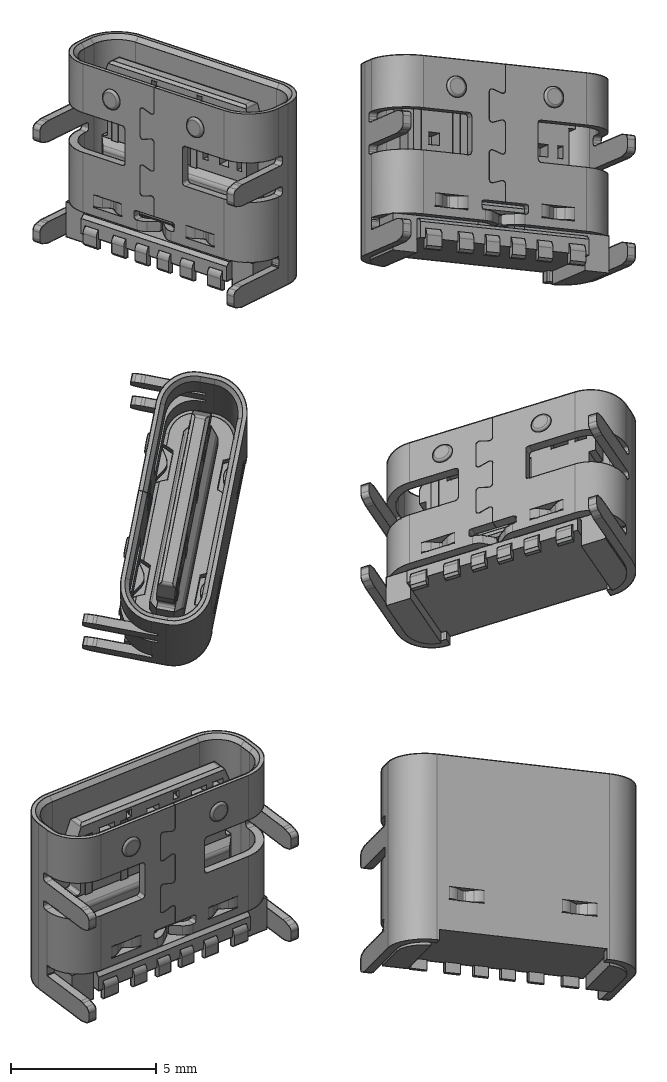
import cadquery as cq
import math


WIDTH = 8.94
LEG_DEPTH = 4.26
DEPTH = 3.165
HEIGHT = 6.9
WALL = 0.31
CORNER_R = 1.33
SHELL_BOTTOM = 0.1
RIM_CHAMFER = 0.16
HALF_W = WIDTH / 2
HALF_D = DEPTH / 2
INNER_W = HALF_W - WALL
INNER_D = HALF_D - WALL
SIDE_FLAT = HALF_D - CORNER_R
FRONT_EDGE = 1.31
FAR = 2 * WIDTH

LEG_WIDTH = 0.8
LEG_REACH = LEG_DEPTH - HALF_D
LEG_TAPER_LENGTH = 0.41
LEG_TAPER_ANGLE = 15.0
LEG_TAPER_R = 0.47
LEG_TIP_R = 0.19
UPPER_LEG_Z = 3.91
WINDOW_BOTTOM = 3.57
WINDOW_TOP = 5.06
WINDOW_INNER_X = 1.28
WINDOW_R = 0.125
UPPER_RELIEF_Y = -0.04
LOWER_RELIEF_Y = -0.23
RELIEF_R = 0.125

DENT_X = 2.06
DENT_HALF = 0.63
DENT_BEND = 0.32
DENT_CREST = 0.05
DENT_ANGLE = 33.0
DENT_BOTTOM = 1.63
DENT_TOP = 2.1
DENT_GAP = 0.04

FLAP_ROOT_X = 0.76
FLAP_BEND = 0.35
FLAP_TIP_X = 0.04
FLAP_TIP_R = 0.07
FLAP_ANGLE = 39.0
FLAP_TOP = 1.69
T_HALF_WIDTH = 0.89
T_TOP = 2.04
T_R = 0.11

SEAM_GAP = 0.0045
SEAM_X = 0.02
DOVETAIL_DEPTH = 0.63
DOVETAIL_SLANT = 0.21
DOVETAIL_R = 0.12
DOVETAIL_STEPS = (5.82, 4.96, 3.67, 2.825)

BUMP_X = 1.87
BUMP_Z = 5.92
BUMP_R = 0.375
BUMP_HEIGHT = 0.1
BUMP_FILLET = 0.09

FLOOR_Z = 2.07
FLOOR_CHAMFER = 0.13
HOUSING_BOTTOM = 0.48
FOOT_INNER_X = 3.24
BACK_NOTCH_X = 3.04
POCKET_BOTTOM = 1.52
POCKET_HALF_WIDE = 0.7
POCKET_HALF_NARROW = 0.52
POCKET_DEPTH = 0.39
BAR_FRONT = 1.565
BAR_TOP = 1.18
FLAP_POCKET_DEPTH = 0.805
FLAP_POCKET_CHAMFER = 0.1

TONGUE_TOP = 6.6
TONGUE_HALF = 0.31
TIP_HALF = 0.19
TIP_CHAMFER_HEIGHT = 0.09
BASE_HALF = 0.6
BASE_R = 0.24
BASE_TOP = 3.69
BASE_CORNER = BASE_HALF - TONGUE_HALF
TONGUE_X = 3.335
TIP_X = 3.03
TIP_R = 0.14
TAPER_Z = 5.81
NOTCH_X = 3.09
NOTCH_BOTTOM = 3.75
NOTCH_TOP = 5.185
NOTCH_R = 0.125

TONGUE_OPENINGS = (
    (-1.97, 0.64, 5.86, 6.17),
    (-1.02, 0.22, 6.115, 6.41),
    (0.0, 0.52, 5.86, 6.17),
    (0.99, 0.22, 6.115, 6.41),
    (1.97, 0.64, 5.86, 6.17),
    (2.77, 0.43, 5.86, 6.17),
    (-2.09, 0.4, 4.095, 4.53),
    (1.27, 0.215, 4.095, 4.53),
    (2.09, 0.4, 4.095, 4.53),
    (2.76, 0.21, 4.095, 4.53),
)
OPENING_DEPTH = 0.45

CONTACTS = ((-2.745, 6.1), (-1.24, 6.1), (0.75, 5.72))
CONTACT_WIDTH = 0.295
CONTACT_RISE = 0.03
CONTACT_SUNK = 0.045
CONTACT_BOTTOM = 3.65

TAILS = ((0.49, 0.52), (1.52, 0.545), (2.76, 0.59))
TAIL_FRONT = 1.68
TAIL_THICKNESS = 0.215
TAIL_BOTTOM = 0.11
TAIL_TOP = 0.9
TAIL_BEND = 0.33
TAIL_END_CHAMFER = 0.09


def block(x0, x1, y0, y1, z0, z1):
    return cq.Workplane("XY").box(x1 - x0, y1 - y0, z1 - z0, centered=False).translate((x0, y0, z0))


def edge_near(x=None, y=None, z=None):
    """Selector for edges whose middle lies at the given coordinates; None leaves one free."""
    margin = 0.01
    low = [-FAR if c is None else c - margin for c in (x, y, z)]
    high = [FAR if c is None else c + margin for c in (x, y, z)]
    return cq.selectors.BoxSelector(low, high)


def racetrack(inset, z0, z1):
    """Rounded-end prism that follows the shell outline, moved inwards by the inset."""
    prism = block(-HALF_W + inset, HALF_W - inset, -HALF_D + inset, HALF_D - inset, z0, z1)
    return prism.edges("|Z").fillet(CORNER_R - inset)


def relief(end_y, z0, z1):
    """Slot across both side walls, with rounded corners at its closed end."""
    slot = block(-FAR, FAR, -FAR, end_y, z0, z1)
    return slot.edges("|X and >Y").fillet(RELIEF_R)


def leg(side, z0):
    """Flat leg that runs on from the side wall and narrows to a rounded tip."""
    z1 = z0 + LEG_WIDTH
    tip_y = -LEG_REACH
    taper_y = tip_y + LEG_TAPER_LENGTH
    drop = LEG_TAPER_LENGTH * math.tan(math.radians(LEG_TAPER_ANGLE))
    outline = [
        (SIDE_FLAT, z0),
        (taper_y, z0),
        (tip_y, z0 + drop),
        (tip_y, z1 - drop),
        (taper_y, z1),
        (SIDE_FLAT, z1),
    ]
    plate = cq.Workplane("YZ").polyline(outline).close().extrude(WALL)
    plate = plate.edges("|X and <Y").fillet(LEG_TIP_R)
    plate = plate.edges(edge_near(y=taper_y)).fillet(LEG_TAPER_R)
    return plate.translate((INNER_W if side > 0 else -HALF_W, 0, 0))


def bend_arc(width, angle):
    """Middle and end, as run and rise, of an arc that turns from flat to the given angle."""
    turn = math.radians(angle)
    radius = width / math.sin(turn)
    return [(radius * math.sin(t), radius * (1 - math.cos(t))) for t in (turn / 2, turn)]


def dent_wave(path, y, side, thickness):
    """Adds one face of the bowed strip, run towards +X (side 1) or -X (side -1) from the given Y.

    The thickness is the distance from the outer face; it tightens the bends and widens the crest.
    """
    shift = thickness * math.sin(math.radians(DENT_ANGLE))
    crest_x = DENT_CREST + shift
    (mid_run, mid_rise), (run, rise) = bend_arc(DENT_BEND - shift, DENT_ANGLE)
    mid_x = DENT_HALF - mid_run
    bend_x = DENT_HALF - run
    crest_rise = rise + (bend_x - crest_x) * math.tan(math.radians(DENT_ANGLE))
    crest_top = crest_rise + crest_x * math.tan(math.radians(DENT_ANGLE / 2))
    path = path.threePointArc((-side * mid_x, y + mid_rise), (-side * bend_x, y + rise))
    path = path.lineTo(-side * crest_x, y + crest_rise)
    path = path.threePointArc((0, y + crest_top), (side * crest_x, y + crest_rise))
    path = path.lineTo(side * bend_x, y + rise)
    return path.threePointArc((side * mid_x, y + mid_rise), (side * DENT_HALF, y))


def dent():
    """Wall strip bowed inwards between two sheared edges, on the front wall at X = 0."""
    path = cq.Workplane("XY").moveTo(-DENT_HALF, -HALF_D)
    path = dent_wave(path, -HALF_D, 1, 0)
    path = path.lineTo(DENT_HALF, -INNER_D)
    path = dent_wave(path, -INNER_D, -1, WALL).close()
    bottom = DENT_BOTTOM + DENT_GAP
    return path.extrude(DENT_TOP - bottom).translate((0, 0, bottom))


def flap():
    """Half of the split strip at the foot of the seam, on the +X side, folded inwards."""
    (mid_run, mid_rise), (run, rise) = bend_arc(FLAP_BEND, FLAP_ANGLE)
    bend_x = FLAP_ROOT_X - run
    mid_x = FLAP_ROOT_X - mid_run
    tip_rise = rise + (bend_x - FLAP_TIP_X) * math.tan(math.radians(FLAP_ANGLE))
    strip = (
        cq.Workplane("XY")
        .moveTo(FLAP_ROOT_X, -HALF_D)
        .threePointArc((mid_x, -HALF_D + mid_rise), (bend_x, -HALF_D + rise))
        .lineTo(FLAP_TIP_X, -HALF_D + tip_rise)
        .lineTo(FLAP_TIP_X, -INNER_D + tip_rise)
        .lineTo(bend_x, -INNER_D + rise)
        .threePointArc((mid_x, -INNER_D + mid_rise), (FLAP_ROOT_X, -INNER_D))
        .close()
        .extrude(FLAP_TOP - FRONT_EDGE)
        .translate((0, 0, FRONT_EDGE))
    )
    return strip.faces("<X").edges("|Y").fillet(FLAP_TIP_R)


def seam():
    """Thin dovetailed gap between the two ends of the wrapped front wall."""
    tab_x = SEAM_X - DOVETAIL_DEPTH
    margin = 0.09
    path = [(SEAM_X, HEIGHT)]
    for upper, lower in zip(DOVETAIL_STEPS[::2], DOVETAIL_STEPS[1::2]):
        path += [(SEAM_X, upper), (tab_x, upper + DOVETAIL_SLANT)]
        path += [(tab_x, lower - DOVETAIL_SLANT), (SEAM_X, lower)]
    path += [(SEAM_X, 0), (-WIDTH, 0), (-WIDTH, HEIGHT)]
    left = cq.Workplane("XZ", origin=(0, -INNER_D, 0)).polyline(path).close().extrude(WALL)
    corners = cq.selectors.BoxSelector(
        (tab_x - margin, -FAR, DOVETAIL_STEPS[-1] - DOVETAIL_SLANT - margin),
        (SEAM_X + margin, FAR, DOVETAIL_STEPS[0] + DOVETAIL_SLANT + margin),
    )
    left = left.edges("|Y").edges(corners).fillet(DOVETAIL_R)
    widened = left.faces("<Y").wires().toPending().offset2D(SEAM_GAP).extrude(-WALL)
    return widened.cut(left)


def wrapped_wall():
    """Rounded tube with a flared mouth, trimmed at its lower edge and carrying the legs."""
    flare = racetrack(WALL - RIM_CHAMFER, HEIGHT - RIM_CHAMFER, HEIGHT + RIM_CHAMFER)
    flare = flare.faces("<Z").edges().chamfer(RIM_CHAMFER)
    body = racetrack(0, SHELL_BOTTOM, HEIGHT).cut(racetrack(WALL, 0, HEIGHT)).cut(flare)
    body = body.cut(block(-FAR, FAR, -FAR, -SIDE_FLAT, 0, FRONT_EDGE))
    body = body.cut(block(-BACK_NOTCH_X, BACK_NOTCH_X, 0, FAR, 0, HOUSING_BOTTOM))
    body = body.cut(relief(LOWER_RELIEF_Y, SHELL_BOTTOM + LEG_WIDTH, FRONT_EDGE))
    window = block(WINDOW_INNER_X, FAR, -FAR, -SIDE_FLAT, WINDOW_BOTTOM, WINDOW_TOP)
    window = window.edges("|Y and <X").fillet(WINDOW_R)
    body = body.cut(window).cut(window.mirror("YZ"))
    for z0, z1 in ((WINDOW_BOTTOM, UPPER_LEG_Z), (UPPER_LEG_Z + LEG_WIDTH, WINDOW_TOP)):
        slot = relief(UPPER_RELIEF_Y, z0, z1)
        body = body.cut(slot.cut(block(-INNER_W, INNER_W, -FAR, FAR, z0, z1)))
    for side in (-1, 1):
        for z0 in (SHELL_BOTTOM, UPPER_LEG_Z):
            body = body.union(leg(side, z0))
    return body


def with_dents(body):
    """Two dents on the front wall and two on the back wall."""
    hole = block(-DENT_HALF, DENT_HALF, -HALF_D, -INNER_D, DENT_BOTTOM, DENT_TOP)
    strip = dent()
    for turn in (0, 180):
        for x in (-DENT_X, DENT_X):
            body = body.cut(hole.translate((x, 0, 0)).rotate((0, 0, 0), (0, 0, 1), turn))
            body = body.union(strip.translate((x, 0, 0)).rotate((0, 0, 0), (0, 0, 1), turn))
    return body


def with_flaps(body):
    """T-shaped opening at the foot of the seam, with its two flaps."""
    bar = block(-T_HALF_WIDTH, T_HALF_WIDTH, -HALF_D, -INNER_D, FLAP_TOP, T_TOP)
    bar = bar.edges("|Y").fillet(T_R)
    stem = block(-FLAP_ROOT_X, FLAP_ROOT_X, -HALF_D, -INNER_D, 0, FLAP_TOP + T_R)
    flaps = flap().union(flap().mirror("YZ"))
    body = body.cut(bar.union(stem).translate((SEAM_X, 0, 0)))
    return body.union(flaps.translate((SEAM_X, 0, 0)))


def with_bumps(body):
    """Round-edged bumps on the front wall."""
    for x in (-BUMP_X, BUMP_X):
        bump = cq.Workplane("XZ", origin=(x, -HALF_D, BUMP_Z)).circle(BUMP_R).extrude(BUMP_HEIGHT)
        body = body.union(bump.faces("<Y").edges().fillet(BUMP_FILLET))
    return body


def shell():
    """Metal shell with legs, dents, seam, flaps and bumps."""
    body = with_dents(wrapped_wall()).cut(seam())
    return with_bumps(with_flaps(body))


def housing():
    """Plastic body that closes the foot of the shell and carries the tails."""
    body = racetrack(WALL, 0, FLOOR_Z).faces(">Z").edges().chamfer(FLOOR_CHAMFER)
    body = body.union(block(-INNER_W, INNER_W, -INNER_D, 0, 0, FRONT_EDGE))
    body = body.cut(block(-FOOT_INNER_X, FOOT_INNER_X, -FAR, FAR, 0, HOUSING_BOTTOM))
    bar = block(-FOOT_INNER_X, FOOT_INNER_X, -BAR_FRONT, -INNER_D, HOUSING_BOTTOM, BAR_TOP)
    body = body.union(bar.edges(">Z and <Y").chamfer(FLOOR_CHAMFER))
    pocket = (
        cq.Workplane("XY")
        .polyline(
            [
                (-POCKET_HALF_WIDE, -INNER_D),
                (POCKET_HALF_WIDE, -INNER_D),
                (POCKET_HALF_NARROW, -INNER_D + POCKET_DEPTH),
                (-POCKET_HALF_NARROW, -INNER_D + POCKET_DEPTH),
            ]
        )
        .close()
        .extrude(FLOOR_Z - POCKET_BOTTOM)
        .translate((0, 0, POCKET_BOTTOM))
    )
    for x in (-DENT_X, DENT_X):
        placed = pocket.translate((x, 0, 0))
        body = body.cut(placed).cut(placed.mirror("XZ"))
    clearance = (
        cq.Workplane("YZ")
        .polyline(
            [
                (-INNER_D, BAR_TOP),
                (-INNER_D, FLAP_TOP + FLAP_POCKET_CHAMFER),
                (-INNER_D + FLAP_POCKET_CHAMFER, FLAP_TOP),
                (-INNER_D + FLAP_POCKET_DEPTH, FLAP_TOP),
                (-INNER_D + FLAP_POCKET_DEPTH, BAR_TOP),
            ]
        )
        .close()
        .extrude(T_HALF_WIDTH, both=True)
    )
    return body.cut(clearance.translate((SEAM_X, 0, 0)))


def tongue():
    """Side section crossed with the front outline and the corner-cut plan of the base."""
    shoulder_z = BASE_TOP - (BASE_HALF - TONGUE_HALF)
    section = [
        (0, POCKET_BOTTOM),
        (BASE_HALF, POCKET_BOTTOM),
        (BASE_HALF, shoulder_z),
        (TONGUE_HALF, BASE_TOP),
        (TONGUE_HALF, TONGUE_TOP - TIP_CHAMFER_HEIGHT),
        (TIP_HALF, TONGUE_TOP),
        (0, TONGUE_TOP),
    ]
    half = cq.Workplane("YZ").polyline(section).close().extrude(TONGUE_X, both=True)
    half = half.edges(edge_near(y=BASE_HALF, z=shoulder_z)).fillet(BASE_R)
    body = half.union(half.mirror("XZ"))
    outline = [
        (0, POCKET_BOTTOM),
        (TONGUE_X, POCKET_BOTTOM),
        (TONGUE_X, NOTCH_BOTTOM),
        (NOTCH_X, NOTCH_BOTTOM),
        (NOTCH_X, NOTCH_TOP),
        (TONGUE_X, NOTCH_TOP),
        (TONGUE_X, TAPER_Z),
        (TIP_X, TONGUE_TOP),
        (0, TONGUE_TOP),
    ]
    side = cq.Workplane("XZ").polyline(outline).close().extrude(BASE_HALF, both=True)
    side = side.edges(edge_near(x=NOTCH_X, z=NOTCH_BOTTOM)).fillet(NOTCH_R)
    side = side.edges(edge_near(x=TIP_X, z=TONGUE_TOP)).fillet(TIP_R)
    plan = block(-TONGUE_X, TONGUE_X, -BASE_HALF, BASE_HALF, POCKET_BOTTOM, TONGUE_TOP)
    plan = plan.edges("|Z").chamfer(BASE_CORNER)
    body = body.intersect(side.union(side.mirror("YZ"))).intersect(plan)
    return with_contacts(body)


def with_contacts(body):
    """Openings and contact strips, the same on the back face after half a turn about Z."""
    for turn in (0, 180):
        for x, width, z0, z1 in TONGUE_OPENINGS:
            hole = block(
                x - width / 2, x + width / 2, -TONGUE_HALF, -TONGUE_HALF + OPENING_DEPTH, z0, z1
            )
            body = body.cut(hole.rotate((0, 0, 0), (0, 0, 1), turn))
        for x, top in CONTACTS:
            strip = block(
                x - CONTACT_WIDTH / 2,
                x + CONTACT_WIDTH / 2,
                -TONGUE_HALF - CONTACT_RISE,
                -TONGUE_HALF + CONTACT_SUNK,
                CONTACT_BOTTOM,
                top,
            )
            body = body.union(strip.rotate((0, 0, 0), (0, 0, 1), turn))
    return body


def tail(x, width):
    """Contact tail bent down over the front of the bar."""
    left = x - width / 2
    right = x + width / 2
    foot = block(left, right, -TAIL_FRONT, -TAIL_FRONT + TAIL_THICKNESS, TAIL_BOTTOM, TAIL_TOP)
    root = block(left, right, -TAIL_FRONT, -INNER_D, HOUSING_BOTTOM, TAIL_TOP)
    strip = foot.union(root)
    strip = strip.edges("|X and >Z and <Y").fillet(TAIL_BEND)
    return strip.edges("|X and <Z and <Y").chamfer(TAIL_END_CHAMFER)


result = shell().union(housing()).union(tongue())
for centre, width in TAILS:
    for side in (-1, 1):
        result = result.union(tail(side * centre, width))